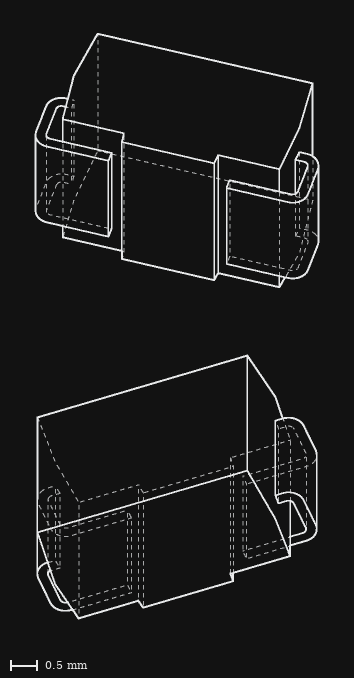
import cadquery as cq
import math

BODY_LENGTH = 4.4
BODY_HEIGHT = 3.6
BODY_BACK_Y = 2.43
PARTING_Y = 1.23
DRAFT_ANGLE = 5.0

PAD_LENGTH = 1.8
PAD_FACE_Y = 0.03
PAD_BASE_Y = 0.23

LEAD_SPAN = 5.3
LEAD_HEIGHT = 2.2
LEAD_THICKNESS = 0.2
LEAD_FOOT_LENGTH = 1.5
LEAD_OUTER_RADIUS = 0.3
LEAD_INNER_RADIUS = LEAD_OUTER_RADIUS - LEAD_THICKNESS
LEAD_EMBED_DEPTH = 0.3


def draft_inset(depth):
    """Sideways shift of a drafted wall over the given depth."""
    return depth * math.tan(math.radians(DRAFT_ANGLE))


def make_half_body(end_y):
    """Drafted block from the parting plane to a plane at end_y."""
    rise = end_y - PARTING_Y
    inset = draft_inset(abs(rise))
    return (
        cq.Workplane("XZ", origin=(0, PARTING_Y, 0))
        .rect(BODY_LENGTH, BODY_HEIGHT)
        .workplane(offset=-rise)
        .rect(BODY_LENGTH - 2 * inset, BODY_HEIGHT - 2 * inset)
        .loft(ruled=True)
    )


def make_side_recess(side):
    """Material beside the pad, bounded by the drafted pad wall."""
    face_x = side * PAD_LENGTH / 2
    base_x = side * (PAD_LENGTH / 2 + draft_inset(PAD_BASE_Y - PAD_FACE_Y))
    outer_x = side * BODY_LENGTH / 2
    return (
        cq.Workplane("XY")
        .polyline([
            (face_x, PAD_FACE_Y),
            (base_x, PAD_BASE_Y),
            (outer_x, PAD_BASE_Y),
            (outer_x, PAD_FACE_Y),
        ])
        .close()
        .extrude(BODY_HEIGHT / 2, both=True)
    )


def make_body():
    """Two drafted halves with a recess on each side of the pad."""
    body = make_half_body(BODY_BACK_Y).union(make_half_body(PAD_FACE_Y))
    for side in (-1, 1):
        body = body.cut(make_side_recess(side))
    return body


def make_left_lead():
    """C-shaped strip leaving the body at the parting plane and folding under it."""
    outer_x = -LEAD_SPAN / 2
    inner_x = outer_x + LEAD_THICKNESS
    foot_x = outer_x + LEAD_FOOT_LENGTH
    root_x = -BODY_LENGTH / 2 + LEAD_EMBED_DEPTH
    strip = (
        cq.Workplane("XY")
        .moveTo(root_x, PARTING_Y)
        .lineTo(outer_x, PARTING_Y)
        .lineTo(outer_x, 0)
        .lineTo(foot_x, 0)
        .lineTo(foot_x, LEAD_THICKNESS)
        .lineTo(inner_x, LEAD_THICKNESS)
        .lineTo(inner_x, PARTING_Y - LEAD_THICKNESS)
        .lineTo(root_x, PARTING_Y - LEAD_THICKNESS)
        .close()
        .extrude(LEAD_HEIGHT / 2, both=True)
    )
    strip = strip.edges("|Z and <X").fillet(LEAD_OUTER_RADIUS)
    inner_bends = cq.selectors.BoxSelector(
        (inner_x - LEAD_INNER_RADIUS / 2, 0, -LEAD_HEIGHT),
        (inner_x + LEAD_INNER_RADIUS / 2, PARTING_Y, LEAD_HEIGHT),
    )
    return strip.edges("|Z").edges(inner_bends).fillet(LEAD_INNER_RADIUS)


left_lead = make_left_lead()
right_lead = left_lead.mirror("YZ")
result = make_body().union(left_lead).union(right_lead)